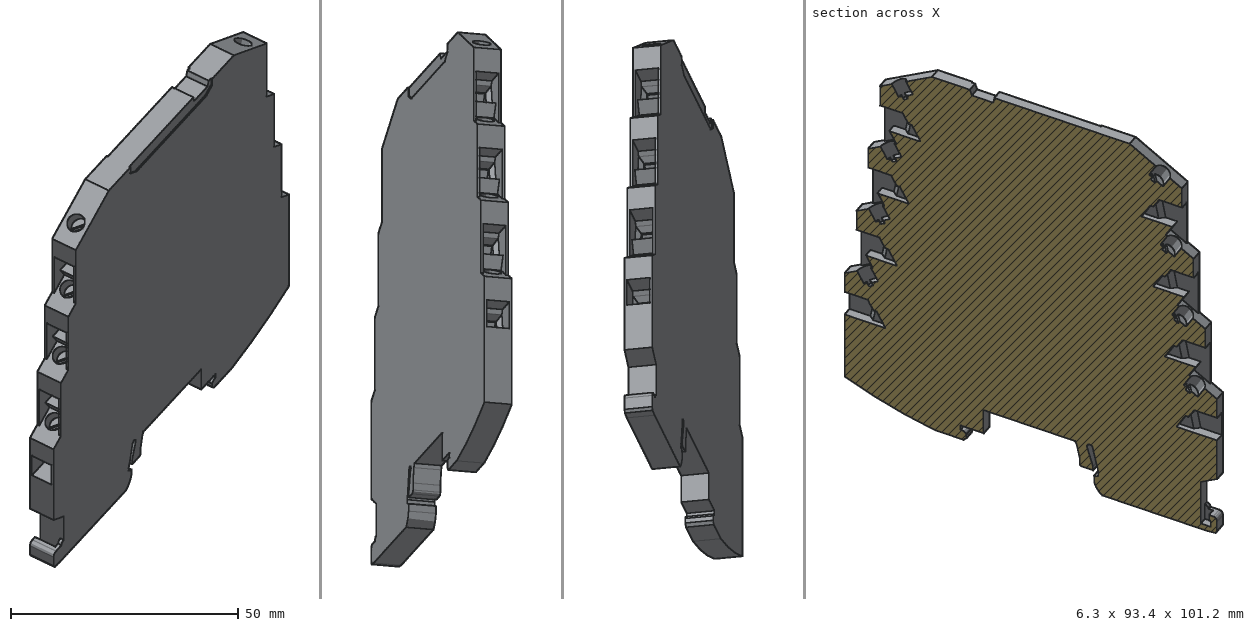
import cadquery as cq
import math

thickness = 6.3
depth = 93.4
height = 101.2
slope = math.radians(30)
overcut = 1.0

tier_count = 4
tier_step = 2.9
tier_pitch = 18.5
shoulder_half = 24.8
ledge_bottom_drop = 24.5
half_depth = depth / 2
first_half = half_depth - (tier_count - 1) * tier_step
first_foot = height - ledge_bottom_drop
shoulder_z = height - (first_half - shoulder_half) * math.tan(slope)
ledge_drop = tier_step * math.tan(slope)

back_corner_z = 8.9
back_sweep_via = (31.5, 3.9)
back_foot = (24.0, 2.4)
rail_top_z = 12.6
rail_lip_z = 6.2
rail_back_y = 11.8
rail_front_y = -11.0
back_claw_tip = [(16.9, 2.4), (16.2, 3.1), (16.2, 4.3)]
back_claw_via = (16.6, 4.9)
back_claw_root = (17.6, 5.1)
spring_front = [(-11.4, 11.8), (-12.1, 8.5), (-12.1, 6.9)]
spring_tip_via = (-12.3, 6.4)
spring_tip = (-12.8, rail_lip_z)
slot_near_side = [(-15.6, rail_lip_z), (-15.6, 7.5), (-14.1, 12.4)]
slot_end_via = (-14.7, 13.1)
slot_end = (-15.5, 12.2)
front_claw = [(-16.9, 6.1), (-16.8, 5.2), (-15.8, 4.8), (-15.8, 3.1)]
front_claw_via = (-16.6, 1.3)
front_claw_foot = (-17.9, 0)

foot_recess = 4.0
foot_y = -half_depth + foot_recess
nose_z = 15.5
hook_top_z = 4.8
hook_floor_z = 1.6
hook_groove = 2.0
hook_undercut = 0.4
hook_undercut_z = 3.0
hook_round = 1.0
hook_toe_z = 0.9
hook_heel_z = 0.2
hook_toe_run = 0.4
hook_heel_run = 2.3
web_thickness = 0.9
web_round = 0.9

cover_half = 16.2
cover_bottom_half = 13.9
cover_side_height = 2.0
cover_height = 3.4
cover_inset = 0.3
cover_notch = [(15.3, 0), (14.8, -1.4), (9.5, -1.4), (9.2, 0)]

screw_diameter = 4.0
screw_depth = 3.4
screw_slot_width = 0.8
screw_slot_depth = 0.8
shoulder_screw_inset = 4.8
ledge_screw_inset = 1.9

entry_width = 5.2
entry_floor = 5.3
entry_top = 11.4
entry_lip_depth = 5.8
entry_mouth_top = 10.4
entry_mouth_depth = 6.3
funnel_tilt = math.radians(11)
funnel_depth = 1.2
funnel_side_taper = 1.0
funnel_top_taper = 1.2
throat_top = 9.0
throat_depth = 10.1
screw_well_depth = 4.0


def side_prism(points, width, center_x=0.0):
    """Prism with a (y, z) outline, spread evenly about center_x."""
    return (cq.Workplane("YZ", origin=(center_x - width / 2, 0, 0))
            .polyline(points).close().extrude(width))


def line_through(outline, points):
    """Carry an outline on through points with straight edges."""
    for point in points:
        outline = outline.lineTo(*point)
    return outline


def upper_side_points():
    """One flank of the stepped outline, from the top edge down, as (half depth, z)."""
    points = [(shoulder_half, height), (first_half, shoulder_z)]
    for tier in range(tier_count - 1):
        half = first_half + tier * tier_step
        foot = first_foot - tier * tier_pitch
        points += [(half, foot), (half + tier_step, foot - ledge_drop)]
    return points


def hook_groove_side():
    """Undercut side of the hook groove, from its mouth down to its floor."""
    mouth_y = foot_y - hook_groove
    undercut_y = mouth_y - hook_undercut
    return [
        (mouth_y, hook_top_z),
        (mouth_y, hook_undercut_z),
        (undercut_y, hook_undercut_z),
        (undercut_y, hook_floor_z),
    ]


def make_plate():
    """Full-thickness plate: stepped flanks above, rail seat and release foot below."""
    flank = upper_side_points()
    outline = cq.Workplane("YZ", origin=(-thickness / 2, 0, 0)).moveTo(*flank[0])
    outline = line_through(outline, flank[1:])
    outline = outline.lineTo(half_depth, back_corner_z).threePointArc(back_sweep_via, back_foot)
    outline = line_through(outline, back_claw_tip).threePointArc(back_claw_via, back_claw_root)
    outline = line_through(outline, [
        (back_claw_root[0], rail_lip_z),
        (rail_back_y, rail_lip_z),
        (rail_back_y, rail_top_z),
        (rail_front_y, rail_top_z),
    ])
    outline = line_through(outline, spring_front).threePointArc(spring_tip_via, spring_tip)
    outline = line_through(outline, slot_near_side).threePointArc(slot_end_via, slot_end)
    outline = line_through(outline, front_claw).threePointArc(front_claw_via, front_claw_foot)
    outline = line_through(outline, [
        (-half_depth + hook_heel_run, 0),
        (-half_depth + hook_toe_run, hook_heel_z),
        (-half_depth, hook_toe_z),
        (-half_depth, hook_top_z - hook_round),
    ])
    outline = outline.radiusArc((-half_depth + hook_round, hook_top_z), hook_round)
    outline = line_through(outline, hook_groove_side())
    outline = line_through(outline, [
        (foot_y, hook_floor_z),
        (foot_y, nose_z - foot_recess * math.tan(slope)),
        (-half_depth, nose_z),
    ])
    outline = line_through(outline, [(-half, z) for half, z in reversed(flank)])
    return outline.close().extrude(thickness)


def make_hook_web():
    """Thin web closing the +X end of the hook groove, blended into the foot."""
    web = cq.Workplane("YZ", origin=(thickness / 2 - web_thickness, 0, 0))
    web = web.moveTo(foot_y, hook_floor_z)
    web = line_through(web, reversed(hook_groove_side()))
    web = (web.lineTo(foot_y - web_round, hook_top_z)
           .radiusArc((foot_y, hook_top_z + web_round), web_round))
    return web.close().extrude(web_thickness)


def make_cover_cuts():
    """Shallow recess on both broad sides of the cover, and the notch across it."""
    recess_points = [
        (cover_half, height + overcut),
        (cover_half, height - cover_side_height),
        (cover_bottom_half, height - cover_height),
        (-cover_bottom_half, height - cover_height),
        (-cover_half, height - cover_side_height),
        (-cover_half, height + overcut),
    ]
    cuts = side_prism([(y, height + z) for y, z in cover_notch], thickness)
    for side in (-1, 1):
        cuts = cuts.add(side_prism(recess_points, 2 * cover_inset, side * thickness / 2))
    return cuts.combine()


def make_screw(y, z):
    """Round recess square to a front slope, with a diagonal driver slot in its floor."""
    normal = (0, -math.sin(slope), math.cos(slope))
    face = cq.Workplane(cq.Plane(origin=(0, y, z), xDir=(1, 0, 0), normal=normal))
    recess = face.circle(screw_diameter / 2).extrude(-screw_depth)
    slot = (face.workplane(offset=-screw_depth).transformed(rotate=(0, 0, 45))
            .rect(screw_diameter, screw_slot_width).extrude(-screw_slot_depth))
    disc = face.circle(screw_diameter / 2).extrude(-screw_depth - screw_slot_depth)
    return recess.union(slot.intersect(disc))


def make_wire_entry():
    """Funnel-shaped wire entry of the first tier on the -Y side."""
    face_y = -first_half
    floor_z = first_foot + entry_floor
    mouth_y = face_y + entry_mouth_depth
    mouth_z = first_foot + entry_mouth_top
    mouth_floor_y = mouth_y - (mouth_z - floor_z) * math.tan(funnel_tilt)
    entry = side_prism([
        (face_y - overcut, floor_z),
        (face_y - overcut, first_foot + entry_top),
        (face_y + entry_lip_depth, first_foot + entry_top),
        (mouth_y, mouth_z),
        (mouth_floor_y, floor_z),
    ], entry_width)

    reach = 2 * entry_floor
    mouth = cq.Plane(origin=(0, mouth_y, mouth_z), xDir=(1, 0, 0),
                     normal=(0, math.cos(funnel_tilt), -math.sin(funnel_tilt)))
    throat_width = entry_width - 2 * funnel_side_taper
    funnel = (cq.Workplane(mouth)
              .center(0, reach / 2).rect(entry_width, reach)
              .workplane(offset=funnel_depth).center(0, funnel_top_taper / 2)
              .rect(throat_width, reach - funnel_top_taper)
              .loft(combine=True))
    above_floor = (cq.Workplane("XY", origin=(0, mouth_y, floor_z))
                   .rect(2 * entry_width, 2 * throat_depth).extrude(entry_top))
    funnel = funnel.intersect(above_floor)

    throat_z = first_foot + throat_top
    back_y = face_y + throat_depth
    throat = side_prism([
        (mouth_floor_y + funnel_depth, floor_z),
        (mouth_y + funnel_depth - (mouth_z - throat_z) * math.tan(funnel_tilt), throat_z),
        (back_y - (throat_z - floor_z) * math.tan(slope), throat_z),
        (back_y, floor_z),
    ], throat_width)
    return entry.union(funnel).union(throat)


def make_ledge_well():
    """Well that carries the first ledge into the housing, with its clamping screw."""
    face_y = -first_half
    floor_z = first_foot + entry_floor
    end_y = face_y + screw_well_depth
    end_z = first_foot + screw_well_depth * math.tan(slope)
    well = side_prism([
        (face_y - overcut, first_foot - overcut * math.tan(slope)),
        (face_y - overcut, floor_z),
        (end_y - (floor_z - end_z) * math.tan(slope), floor_z),
        (end_y, end_z),
    ], entry_width)
    screw = make_screw(face_y + ledge_screw_inset,
                       first_foot + ledge_screw_inset * math.tan(slope))
    return well.union(screw)


def make_front_cuts():
    """Everything cut from the -Y flank."""
    cuts = make_screw(-first_half + shoulder_screw_inset,
                      shoulder_z + shoulder_screw_inset * math.tan(slope))
    wire_entry = make_wire_entry()
    ledge_well = make_ledge_well()
    for tier in range(tier_count):
        shift = (0, -tier * tier_step, -tier * tier_pitch)
        cuts = cuts.union(wire_entry.translate(shift))
        if tier < tier_count - 1:
            cuts = cuts.union(ledge_well.translate(shift))
    return cuts


front_cuts = make_front_cuts()
result = (make_plate()
          .union(make_hook_web())
          .cut(make_cover_cuts())
          .cut(front_cuts)
          .cut(front_cuts.rotate((0, 0, 0), (0, 0, 1), 180)))